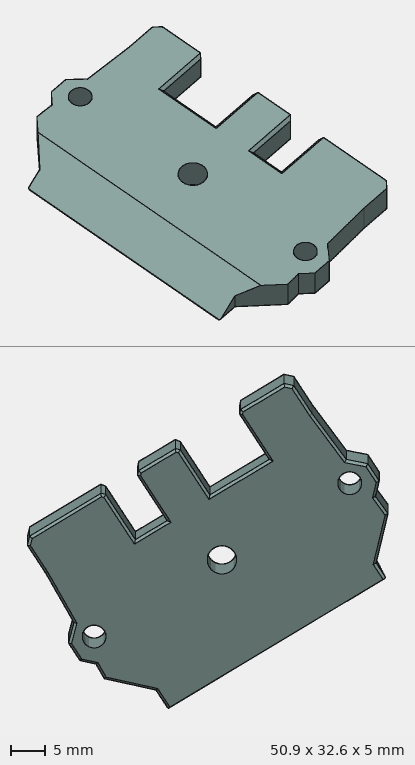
import cadquery as cq

length = 50.85
depth = 32.55
thickness = 5.0
edge_chamfer = 0.5
bottom_chamfer = 0.4

half_length = length / 2
back_half_width = 22.6
ear_root_half_width = 23.15
ear_neck_half_width = 23.75
shoulder_half_width = 23.9
nose_half_width = 18.5

back_corner_chamfer = 1.0
taper_start_y = 26.55
ear_root_y = 18.1
ear_back_y = 15.9
ear_front_y = 12.8
ear_neck_y = ear_front_y - (half_length - ear_neck_half_width)
left_shoulder_y = 8.0
right_shoulder_y = 8.65

slope_top_y = 5.9
tip_height = 0.3
tip_setback = 0.1

hole_y = 14.9
ear_hole_x = 21.7
ear_hole_diameter = 3.4
center_hole_diameter = 4.2

slots = [(-13.75, -3.65), (3.6, 9.0)]
slot_floor_y = 24.0


def side_points(side, shoulder_y):
    """Outline of one side, from the front nose to the back edge; side is -1 or +1."""
    nose_y = shoulder_y - (shoulder_half_width - nose_half_width)
    points = [
        (nose_half_width, 0),
        (nose_half_width, nose_y),
        (shoulder_half_width, shoulder_y),
        (ear_neck_half_width, ear_neck_y),
        (half_length, ear_front_y),
        (half_length, ear_back_y),
        (ear_root_half_width, ear_root_y),
        (back_half_width, taper_start_y),
        (back_half_width, depth - back_corner_chamfer),
        (back_half_width - back_corner_chamfer, depth),
    ]
    return [(side * x, y) for x, y in points]


def slot_points(left, right):
    """Slot outline from right to left, with chamfered corners at its mouth."""
    mouth_y = depth - edge_chamfer
    return [
        (right + edge_chamfer, depth),
        (right, mouth_y),
        (right, slot_floor_y),
        (left, slot_floor_y),
        (left, mouth_y),
        (left - edge_chamfer, depth),
    ]


def plate():
    """Plate with open slots and a chamfer along its bottom outline, except at the front."""
    outline = side_points(1, right_shoulder_y)
    for left, right in reversed(slots):
        outline += slot_points(left, right)
    outline += reversed(side_points(-1, left_shoulder_y))
    body = cq.Workplane("XY").polyline(outline).close().extrude(thickness)
    return body.faces("<Z").edges("not <Y").chamfer(bottom_chamfer)


def slot_top_chamfer(left, right):
    """Cutter that bevels the top edges of a slot's walls and floor."""
    top_width = right - left + 2 * edge_chamfer
    top_length = 2 * (depth - slot_floor_y + edge_chamfer)
    return (
        cq.Workplane("XY", origin=((left + right) / 2, depth, thickness))
        .rect(top_width, top_length)
        .workplane(offset=-edge_chamfer)
        .rect(top_width - 2 * edge_chamfer, top_length - 2 * edge_chamfer)
        .loft(ruled=True)
    )


def front_envelope():
    """Side profile of the plate, with the long front slope and the small bevel under its tip."""
    profile = [
        (tip_setback, 0),
        (depth, 0),
        (depth, thickness),
        (slope_top_y, thickness),
        (0, tip_height),
    ]
    return cq.Workplane("YZ").polyline(profile).close().extrude(half_length, both=True)


def hole(x, diameter):
    """Cutter for a vertical through hole."""
    return cq.Workplane("XY").center(x, hole_y).circle(diameter / 2).extrude(thickness)


result = plate().intersect(front_envelope())
for left_wall, right_wall in slots:
    result = result.cut(slot_top_chamfer(left_wall, right_wall))
result = result.cut(hole(0, center_hole_diameter))
for hole_x in (-ear_hole_x, ear_hole_x):
    result = result.cut(hole(hole_x, ear_hole_diameter))